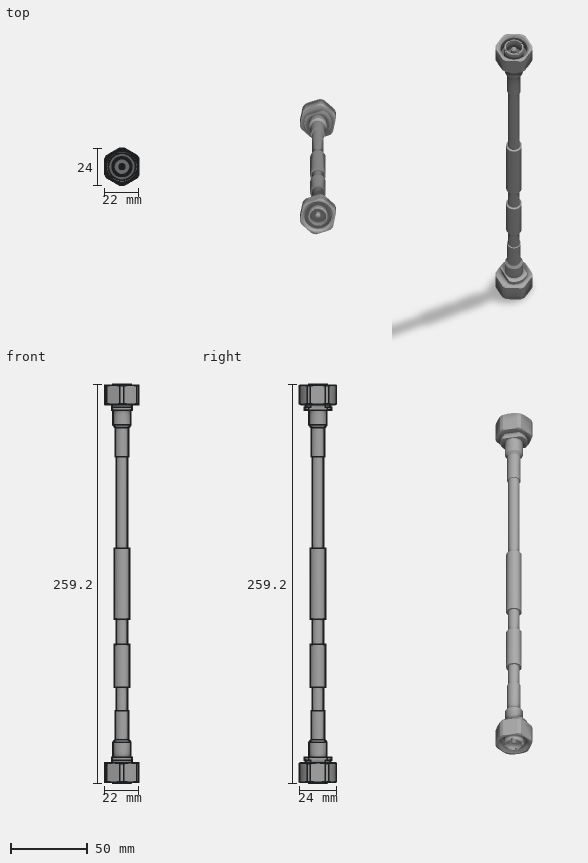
import cadquery as cq
import math


overall_length = 259.2

nut_face = 0.5
nut_length = 12.7
nut_back = nut_face + nut_length
flange_front = 15.0
flange_back = 16.8
ferrule_taper = 26.5
ferrule_back = 28.3
connector_length = 47.2

nut_across_flats = 22.0
nut_across_corners = 24.0
nut_end_face_diameter = 21.8
nut_end_chamfer = 0.5
nut_bore_diameter = 17.5
nut_bore_chamfer = 1.3
nut_bore_depth = 8.3

contact_diameter = 12.7
contact_bore_diameter = 10.5
contact_chamfer = 0.5
contact_slot_width = 1.0
contact_slot_length = 1.3
contact_slot_count = 4
pin_diameter = 3.5
pin_tip = 1.3
pin_chamfer = 1.0

neck_diameter = 16.3
flange_diameter = 18.0
wrench_across_flats = 13.2
ferrule_diameter = 11.7
boot_diameter = 8.8

cable_diameter = 7.5
sleeve_diameter = 10.0
long_sleeve_bottom = 106.5
long_sleeve_length = 46.1
short_sleeve_bottom = 62.2
short_sleeve_length = 28.0


def cylinder(diameter, start, end):
    return cq.Workplane("XY").workplane(offset=start).circle(diameter / 2).extrude(end - start)


def cone(start_diameter, end_diameter, start, end):
    return (
        cq.Workplane("XZ")
        .moveTo(0, start)
        .lineTo(start_diameter / 2, start)
        .lineTo(end_diameter / 2, end)
        .lineTo(0, end)
        .close()
        .revolve()
    )


def make_nut():
    """Hexagon with turned-down corners, chamfered ends and an open bore."""
    hexagon_diameter = nut_across_flats / math.cos(math.pi / 6)
    hexagon = (
        cq.Workplane("XY")
        .workplane(offset=nut_face)
        .polygon(6, hexagon_diameter)
        .extrude(nut_length)
        .rotate((0, 0, 0), (0, 0, 1), 30)
    )
    end_radius = nut_end_face_diameter / 2
    corner_radius = nut_across_corners / 2
    turned_envelope = (
        cq.Workplane("XZ")
        .moveTo(0, nut_face)
        .lineTo(end_radius, nut_face)
        .lineTo(corner_radius, nut_face + nut_end_chamfer)
        .lineTo(corner_radius, nut_back - nut_end_chamfer)
        .lineTo(end_radius, nut_back)
        .lineTo(0, nut_back)
        .close()
        .revolve()
    )
    bore = cylinder(nut_bore_diameter, nut_face, nut_face + nut_bore_depth)
    bore_mouth = cone(
        nut_bore_diameter + 2 * nut_bore_chamfer, nut_bore_diameter, nut_face, nut_face + nut_bore_chamfer
    )
    return hexagon.intersect(turned_envelope).cut(bore).cut(bore_mouth)


def make_contacts():
    """Slotted tube with a chamfered tip, and the pin standing inside it."""
    floor = nut_face + nut_bore_depth
    tube = (
        cylinder(contact_diameter, 0, floor)
        .faces("<Z")
        .chamfer(contact_chamfer)
        .cut(cylinder(contact_bore_diameter, 0, floor))
    )
    for index in range(contact_slot_count):
        slot = (
            cq.Workplane("XY")
            .box(contact_diameter, contact_slot_width, contact_slot_length, centered=(False, True, False))
            .rotate((0, 0, 0), (0, 0, 1), index * 360 / contact_slot_count)
        )
        tube = tube.cut(slot)
    pin = cylinder(pin_diameter, pin_tip, floor).faces("<Z").chamfer(pin_chamfer)
    return tube, pin


def make_wrench_collar():
    """Neck and flange with two flats facing along X."""
    collar = cylinder(neck_diameter, nut_back, flange_front).union(
        cylinder(flange_diameter, flange_front, flange_back)
    )
    between_flats = cq.Workplane("XY").box(
        wrench_across_flats, flange_diameter, flange_back, centered=(True, True, False)
    )
    return collar.intersect(between_flats)


def make_connector():
    """Connector with its mating tip at the origin and its boot toward +Z."""
    ferrule = cylinder(ferrule_diameter, flange_back, ferrule_taper).union(
        cone(ferrule_diameter, boot_diameter, ferrule_taper, ferrule_back)
    )
    boot = cylinder(boot_diameter, ferrule_back, connector_length)
    tube, pin = make_contacts()
    return make_nut().union(tube).union(pin).union(make_wrench_collar()).union(ferrule).union(boot)


def make_cable():
    return cylinder(cable_diameter, connector_length, overall_length - connector_length)


def make_sleeve(bottom, length):
    top = bottom + length
    return cylinder(sleeve_diameter, bottom, top).cut(cylinder(cable_diameter, bottom, top))


middle = (0, 0, overall_length / 2)
connectors = [
    make_connector().rotate(middle, (1, 0, overall_length / 2), turn).val()
    for turn in (0, 180)
]
cable = make_cable()
sleeves = [
    make_sleeve(bottom, length).val()
    for bottom, length in (
        (long_sleeve_bottom, long_sleeve_length),
        (short_sleeve_bottom, short_sleeve_length),
    )
]

result = cq.Compound.makeCompound([*connectors, cable.val(), *sleeves])